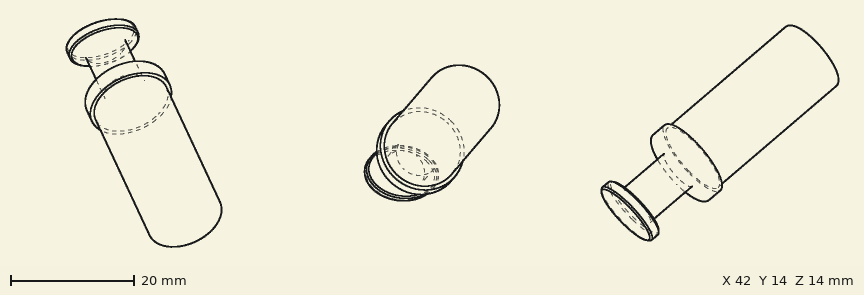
import cadquery as cq

total_length = 42.0
head_thickness = 2.0
flange_start = 12.0
flange_thickness = 3.0
flange_end = flange_start + flange_thickness

head_width = 12.0
head_height = 9.0
neck_diameter = 7.0
flange_diameter = 14.0
body_diameter = 12.7

head_chamfer = 0.3
neck_round = 0.35
flange_round = 0.45
body_round = 0.5


def cylinder(start, end, diameter):
    """Solid cylinder along X between two stations."""
    return cq.Workplane("YZ", origin=(start, 0, 0)).circle(diameter / 2).extrude(end - start)


head = (
    cq.Workplane("YZ")
    .ellipse(head_width / 2, head_height / 2)
    .extrude(head_thickness)
    .faces("<X or >X")
    .edges()
    .chamfer(head_chamfer)
)

flange = cylinder(flange_start, flange_end, flange_diameter).faces("<X").edges().fillet(flange_round)

body = cylinder(flange_end, total_length, body_diameter).faces(">X").edges().fillet(body_round)

neck = cylinder(head_thickness, flange_start, neck_diameter)
result = head.union(neck).union(flange).union(body)
neck_region = cq.selectors.BoxSelector(
    (head_thickness - neck_round, -neck_diameter / 2, -neck_diameter / 2),
    (flange_start + neck_round, neck_diameter / 2, neck_diameter / 2),
)
smallest_circles = cq.selectors.RadiusNthSelector(0)
result = result.edges(neck_region).edges(smallest_circles).fillet(neck_round)